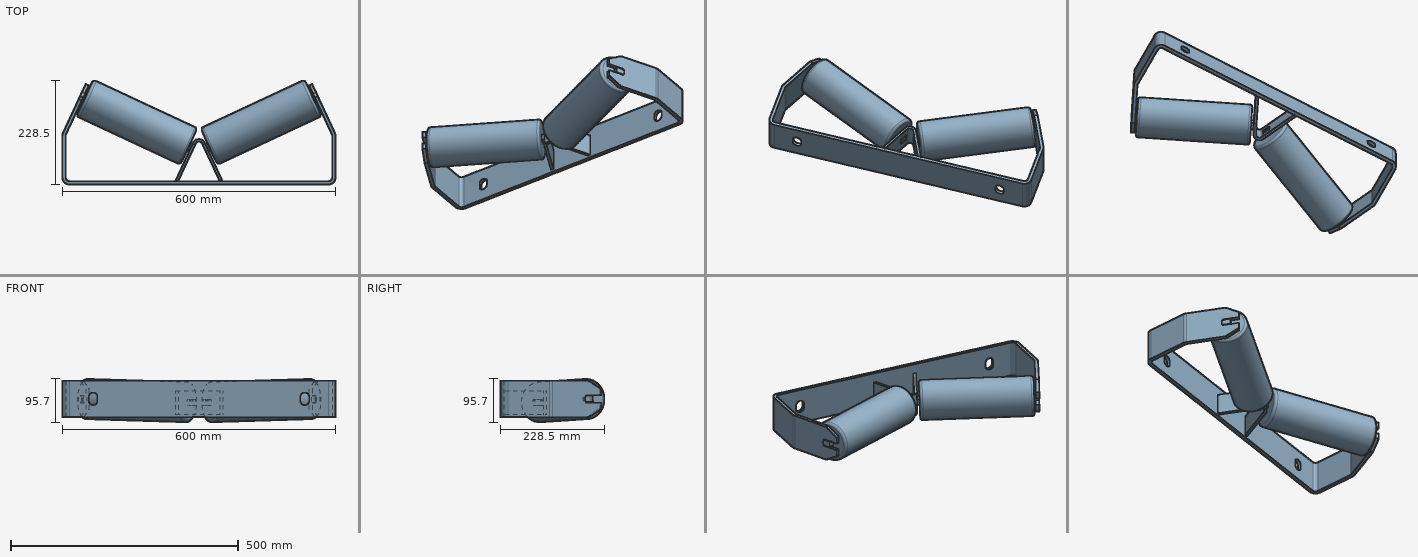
import cadquery as cq
import math

splay_angle = 25.0
roller_tilt = 1.6
lean_x = math.sin(math.radians(splay_angle))
lean_y = math.cos(math.radians(splay_angle))

frame_length = 600.0
frame_height = 80.5
frame_thickness = 8.0
frame_bend_radius = 12.0
elbow_y = 110.5
arm_length = 122.0
tip_chamfer_along = 29.5
tip_chamfer_z = 17.5

mount_slot_spacing = 464.5
mount_slot_width = 19.0
mount_slot_height = 27.5

bracket_height = 51.5
bracket_thickness = 6.0
bracket_top_y = 100.0
bracket_bend_radius = 11.0

roller_diameter = 89.0
roller_length = 251.5
roller_edge_radius = 6.0
shaft_radius = 10.0
shaft_tip_flat = 9.0
shaft_thickness = 14.0
shaft_slot_width = 16.0
seat_y = 195.0
outer_stub = 11.5

seat = cq.Vector(-frame_length / 2 + (seat_y - elbow_y) * lean_x / lean_y, seat_y, 0)
tilt_cos = math.cos(math.radians(roller_tilt))
tilt_sin = math.sin(math.radians(roller_tilt))
roller_axis = cq.Vector(lean_y * tilt_cos, -lean_x * tilt_cos, -tilt_sin)
along_arm = cq.Vector(lean_x, lean_y, 0)

leg_cross_y = bracket_top_y - bracket_thickness / 2 - bracket_bend_radius + bracket_bend_radius / lean_x

leg_normal = cq.Vector(lean_y, -lean_x, 0)
seat_to_leg_middle = (cq.Vector(0, leg_cross_y, 0) - seat).dot(leg_normal)
shaft_length = (seat_to_leg_middle + bracket_thickness / 2) / tilt_cos
shaft_inner_end = seat + roller_axis * shaft_length


def axis_plane(distance):
    """Plane across the left roller axis, with its x direction pointing away from the arm tip."""
    return cq.Plane(origin=seat + roller_axis * distance, xDir=-along_arm, normal=roller_axis)


def bent_strip(points, bend_radius, thickness, height):
    """Flat strip standing on edge, following a line of points with rounded bends."""
    path = cq.Wire.makePolygon([cq.Vector(x, y, 0) for x, y in points]).fillet(bend_radius)
    run = cq.Vector(points[1][0] - points[0][0], points[1][1] - points[0][1], 0)
    start = cq.Plane(origin=(*points[0], 0), xDir=(0, 0, 1), normal=run)
    return cq.Workplane(start).rect(height, thickness).sweep(cq.Workplane(path))


def with_mirror_image(points):
    """Extend the points of the left half with their mirror images on the right."""
    return points + [(-x, y) for x, y in reversed(points)]


def round_nosed_bar(start, length, square_end, width):
    """Bar along the left roller axis: square toward the arm tip, round on the opposite side."""
    half = width / 2
    arc_start = math.sqrt(shaft_radius ** 2 - half ** 2)
    return (
        cq.Workplane(axis_plane(start))
        .moveTo(-square_end, -half)
        .lineTo(arc_start, -half)
        .threePointArc((shaft_radius, 0), (arc_start, half))
        .lineTo(-square_end, half)
        .close()
        .extrude(length)
    )


def make_shaft():
    """Left shaft: flat-sided bar ending flush with the arm and the bracket."""
    return round_nosed_bar(0, shaft_length, shaft_tip_flat, shaft_thickness)


def make_left_roller():
    """Rounded drum and its shaft, as one solid."""
    drum = cq.Workplane(axis_plane(outer_stub)).circle(roller_diameter / 2).extrude(roller_length)
    return drum.edges("%CIRCLE").fillet(roller_edge_radius).union(make_shaft())


def make_tip_corner_cuts():
    """Triangular prisms that bevel the top and bottom corners of the left arm tip."""
    cuts = cq.Workplane()
    tip = seat + along_arm * (arm_length - (seat_y - elbow_y) / lean_y)
    face = cq.Plane(origin=tip, xDir=along_arm, normal=leg_normal)
    for side in (1, -1):
        corner_z = side * frame_height / 2
        corner = cq.Workplane(face).polyline([
            (0, corner_z),
            (-tip_chamfer_along, corner_z),
            (0, corner_z - side * tip_chamfer_z),
        ]).close()
        cuts = cuts.add(corner.extrude(2 * frame_thickness, both=True))
    return cuts.combine()


def make_shaft_slot():
    """Slot open at the left arm tip, with its round closed end against the shaft."""
    depth = 3 * frame_thickness
    return round_nosed_bar(-frame_thickness, depth, arm_length, shaft_slot_width)


def make_frame():
    """Bent flat bar with bevelled, slotted arm tips and two mounting slots in its back."""
    half = frame_thickness / 2
    side_x = -frame_length / 2 + half
    elbow = (side_x, elbow_y - half * math.tan(math.radians(splay_angle / 2)))
    tip = (
        -frame_length / 2 + arm_length * lean_x + half * lean_y,
        elbow_y + arm_length * lean_y - half * lean_x,
    )
    points = with_mirror_image([tip, elbow, (side_x, half)])
    bar = bent_strip(points, frame_bend_radius, frame_thickness, frame_height)
    for left_cut in (make_tip_corner_cuts(), make_shaft_slot()):
        bar = bar.cut(left_cut).cut(left_cut.mirror("YZ"))
    mount_slots = (
        cq.Workplane("XZ")
        .pushPoints([(-mount_slot_spacing / 2, 0), (mount_slot_spacing / 2, 0)])
        .slot2D(mount_slot_height, mount_slot_width, 90)
        .extrude(-frame_thickness)
    )
    return bar.cut(mount_slots)


def make_bracket():
    """Inverted V standing on the back of the frame, with a through hole for each shaft end."""
    foot_x = leg_cross_y * lean_x / lean_y
    points = [(-foot_x, 0), (0, leg_cross_y), (foot_x, 0)]
    strip = bent_strip(points, bracket_bend_radius, bracket_thickness, bracket_height)
    strip = strip.translate((0, 0, shaft_inner_end.z))
    below_feet = cq.Workplane().box(frame_length, 2 * frame_thickness, frame_height)
    hole_length = shaft_length + bracket_thickness
    hole = round_nosed_bar(0, hole_length, shaft_tip_flat, shaft_thickness)
    return strip.cut(below_feet).cut(hole).cut(hole.mirror("YZ"))


frame = make_frame()
bracket = make_bracket()
left_roller = make_left_roller()
rollers = [left_roller, left_roller.mirror("YZ")]

result = cq.Compound.makeCompound([
    frame.val(),
    bracket.val(),
    *[roller.val() for roller in rollers],
])